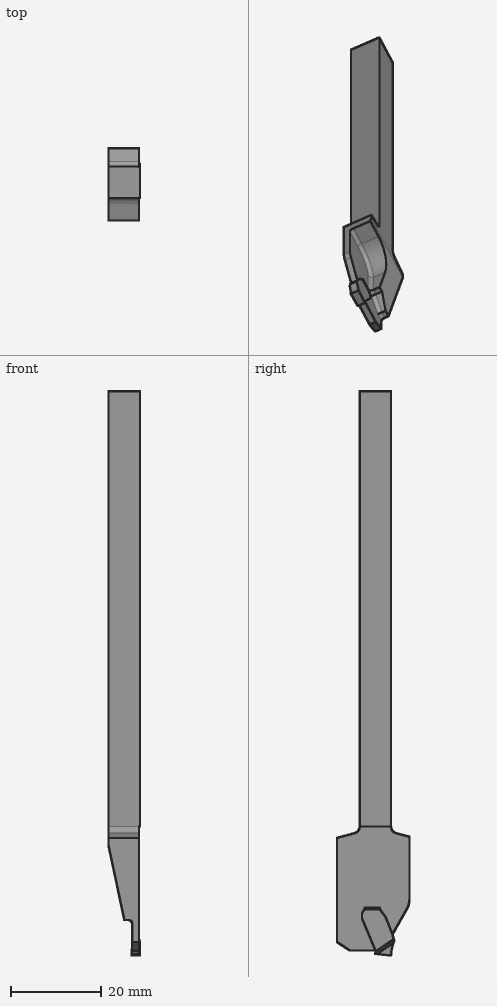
import cadquery as cq
import math


overall_length = 125.0
shank_size = 7.0
shank_half = shank_size / 2

head_front_y = -8.5
head_back_y = 7.57
head_bottom_z = 1.1
head_relief = 0.22
head_side_x = shank_size - head_relief
shoulder_angle = 15.0
shoulder_root_z = 27.45
shoulder_fillet = 1.5
back_slope_top_z = 11.35
back_slope_fillet = 4.0
toe_chamfer_y = 2.9
toe_chamfer_z = 1.9

taper_angle = 12.0
taper_tilt = 1.0
taper_start_z = 24.53

blade_face_x = 5.25
recess_top_z = 23.5
recess_wall_y = -2.6
recess_corner_radius = 6.0
recess_ledge_y = -3.8
recess_ledge_z = 11.1
recess_low_z = 7.9
recess_root_fillet = 0.9

cutting_edge_x = (5.12, 7.02)
tip_y = shank_half
nose_y = 4.2
nose_z = 3.4
rake_hollow_depth = 0.15
insert_back = (3.8, 4.7)
insert_heel_back = (2.3, 8.5)
insert_top_z = 10.25
insert_top_back_y = 1.0
insert_top_front_y = -2.4
insert_front_y = -2.97
insert_front_top_z = 9.4
insert_front_low_z = 8.3
insert_foot = (-0.05, 0.4)
relief_start = (3.43, 3.2)
relief_end = (0.1, 0.94)
flank_length = 2.7
flank_step = 0.6
seat_gap = 0.35

clearance = 5.0


def drop(run, angle):
    return run * math.tan(math.radians(angle))


def shank():
    fillet_setback = shoulder_fillet * math.tan(math.radians(90 - shoulder_angle) / 2)
    shank_bottom_z = shoulder_root_z + fillet_setback
    return (
        cq.Workplane("XY", origin=(0, 0, shank_bottom_z))
        .rect(shank_size, shank_size)
        .extrude(overall_length - shank_bottom_z)
        .translate((shank_half, 0, 0))
    )


def head():
    neck_top_z = shoulder_root_z + shoulder_fillet
    front_shoulder_z = shoulder_root_z - drop(-shank_half - head_front_y, shoulder_angle)
    back_shoulder_z = shoulder_root_z - drop(head_back_y - shank_half, shoulder_angle)
    slope_end_y, slope_end_z = insert_back
    under_insert_y = tip_y / 2
    outline = [
        (-shank_half, neck_top_z),
        (-shank_half, shoulder_root_z),
        (head_front_y, front_shoulder_z),
        (head_front_y, head_bottom_z + toe_chamfer_z),
        (head_front_y + toe_chamfer_y, head_bottom_z),
        (under_insert_y, head_bottom_z),
        (slope_end_y, slope_end_z),
        (head_back_y, back_slope_top_z),
        (head_back_y, back_shoulder_z),
        (shank_half, shoulder_root_z),
        (shank_half, neck_top_z),
    ]
    blank = cq.Workplane("YZ").polyline(outline).close().extrude(head_side_x)

    def edge_at(y, z):
        return cq.selectors.NearestToPointSelector((head_side_x / 2, y, z))

    for side in (-1, 1):
        blank = blank.edges(edge_at(side * shank_half, shoulder_root_z)).fillet(shoulder_fillet)
    return blank.edges(edge_at(head_back_y, back_slope_top_z)).fillet(back_slope_fillet)


def taper_cutter():
    length = taper_start_z + clearance
    width = 4 * head_back_y
    return (
        cq.Workplane("XZ", origin=(0, width / 2, taper_start_z))
        .polyline([(0, 0), (drop(length, taper_angle), -length), (-clearance, -length), (-clearance, 0)])
        .close()
        .extrude(width)
        .rotate((0, 0, taper_start_z), (1, 0, taper_start_z), taper_tilt)
    )


def recess_cutter():
    far_y = head_back_y + clearance
    near_y = head_front_y - clearance
    arc_y = recess_wall_y + recess_corner_radius
    arc_z = recess_top_z - recess_corner_radius
    arc_mid = recess_corner_radius * math.sqrt(0.5)
    ramp_end_y = recess_ledge_y - (recess_ledge_z - recess_low_z)
    cutter = (
        cq.Workplane("YZ", origin=(-clearance, 0, 0))
        .moveTo(far_y, recess_top_z)
        .lineTo(arc_y, recess_top_z)
        .threePointArc((arc_y - arc_mid, arc_z + arc_mid), (recess_wall_y, arc_z))
        .lineTo(recess_wall_y, recess_ledge_z)
        .lineTo(recess_ledge_y, recess_ledge_z)
        .lineTo(ramp_end_y, recess_low_z)
        .lineTo(near_y, recess_low_z)
        .lineTo(near_y, -clearance)
        .lineTo(far_y, -clearance)
        .close()
        .extrude(blade_face_x + clearance)
    )
    return cutter.faces(">X").edges().fillet(recess_root_fillet)


def insert_prism(start_x, end_x):
    rake_hollow = ((tip_y + nose_y) / 2 - rake_hollow_depth, nose_z / 2)
    return (
        cq.Workplane("YZ", origin=(start_x, 0, 0))
        .moveTo(tip_y, 0)
        .threePointArc(rake_hollow, (nose_y, nose_z))
        .lineTo(*insert_back)
        .lineTo(*insert_heel_back)
        .lineTo(insert_top_back_y, insert_top_z)
        .lineTo(insert_top_front_y, insert_top_z)
        .lineTo(insert_front_y, insert_front_top_z)
        .lineTo(insert_front_y, insert_front_low_z)
        .lineTo(*relief_end)
        .lineTo(*insert_foot)
        .close()
        .extrude(end_x - start_x)
    )


def cutting_insert():
    edge_near_x, edge_far_x = cutting_edge_x
    sweep_direction = (0, relief_end[0] - relief_start[0], relief_end[1] - relief_start[1])
    plane = cq.Plane(origin=(0, *relief_end), xDir=(1, 0, 0), normal=sweep_direction)
    section = [
        (edge_near_x, -flank_length),
        (blade_face_x, 0),
        (blade_face_x, 2 * insert_top_z),
        (head_side_x, 2 * insert_top_z),
        (head_side_x, 0),
        (edge_far_x, -flank_step),
        (edge_far_x, -flank_length),
    ]
    envelope = cq.Workplane(plane).polyline(section).close().extrude(2 * insert_top_z, both=True)
    return insert_prism(edge_near_x, edge_far_x).intersect(envelope)


def seat_gap_cutter():
    return (
        cq.Workplane("YZ")
        .moveTo(insert_top_back_y, insert_top_z)
        .lineTo(insert_top_front_y, insert_top_z)
        .lineTo(insert_top_front_y, insert_top_z + seat_gap)
        .lineTo(insert_top_back_y, insert_top_z + seat_gap)
        .close()
        .extrude(shank_size)
    )


def tool_holder():
    body = shank().union(head())
    body = body.cut(taper_cutter()).cut(recess_cutter())
    return body.cut(insert_prism(0, shank_size)).cut(seat_gap_cutter())


holder = tool_holder()
insert = cutting_insert()
result = cq.Compound.makeCompound([holder.solids().val(), insert.solids().val()])